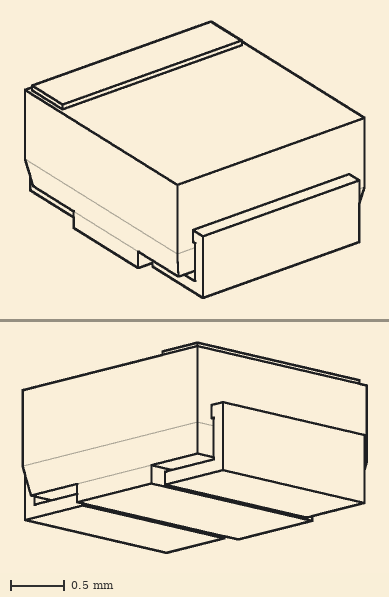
import cadquery as cq

total_length = 2.69
total_height = 1.25

band_thickness = 0.05
band_inset = 0.048
band_width = 0.475

housing_length = 2.375
housing_width = 2.21
housing_top = total_height - band_thickness
parting_height = 0.463
underside_height = 0.178
taper_inset = 0.056
foot_length = 1.005
lower_length = housing_length - 2 * taper_inset
lower_width = housing_width - 2 * taper_inset

lead_thickness = 0.126
lead_height = 0.66
lead_width = 1.845
lead_foot_length = 0.785


def make_housing():
    upper = (
        cq.Workplane("XY", origin=(0, 0, parting_height))
        .rect(housing_length, housing_width)
        .extrude(housing_top - parting_height)
    )
    lower = (
        cq.Workplane("XY", origin=(0, 0, underside_height))
        .rect(lower_length, lower_width)
        .workplane(offset=parting_height - underside_height)
        .rect(housing_length, housing_width)
        .loft(ruled=True)
    )
    foot = cq.Workplane("XY").rect(foot_length, lower_width).extrude(underside_height)
    return upper.union(lower).union(foot)


def make_band():
    band_length = housing_width - 2 * band_inset
    band_center_x = -housing_length / 2 + band_inset + band_width / 2
    return (
        cq.Workplane("XY", origin=(band_center_x, 0, housing_top))
        .rect(band_width, band_length)
        .extrude(band_thickness)
    )


def make_lead(side):
    """Lead at the -X end (side = -1) or the +X end (side = 1)."""
    outer = side * total_length / 2
    inner = outer - side * lead_thickness
    housing_end = side * housing_length / 2
    foot_end = outer - side * lead_foot_length
    profile = [
        (foot_end, 0),
        (outer, 0),
        (outer, lead_height),
        (housing_end, lead_height),
        (housing_end, lead_height - lead_thickness),
        (inner, lead_height - lead_thickness),
        (inner, lead_thickness),
        (foot_end, lead_thickness),
    ]
    return cq.Workplane("XZ").polyline(profile).close().extrude(lead_width / 2, both=True)


housing = make_housing()
band = make_band()
leads = [make_lead(side) for side in (-1, 1)]

result = cq.Compound.makeCompound(
    [housing.val(), band.val(), *[lead.val() for lead in leads]]
)